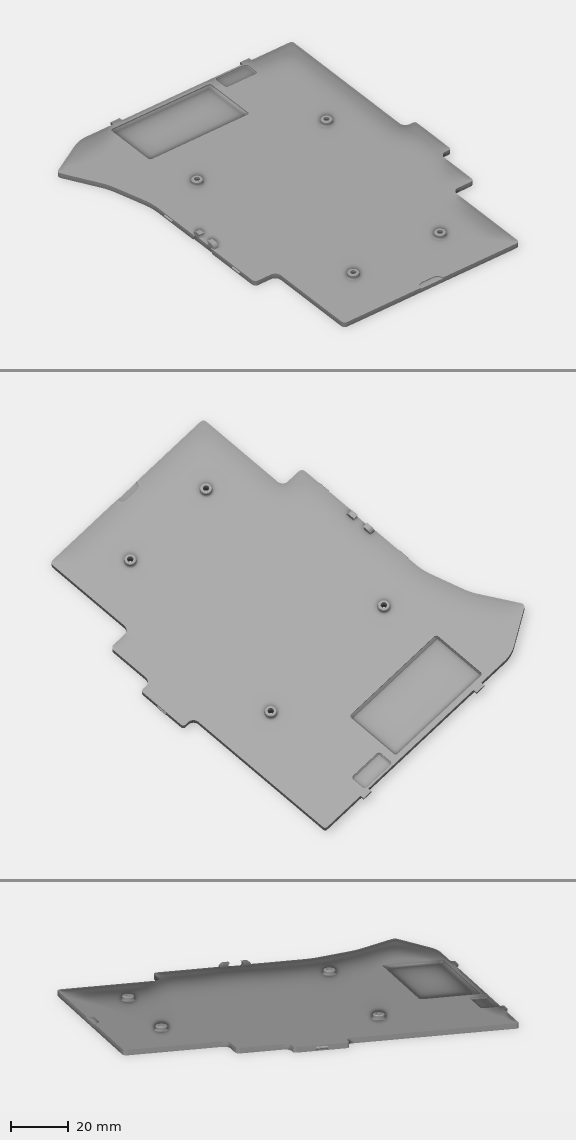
import cadquery as cq
import math

plate_length = 140.2
plate_width = 96.0
plate_thickness = 2.0
overall_height = 3.7
mid_y = plate_width / 2
mid_x = 73.0

shoulder_x = 102.3
narrow_end_width = 77.0
tongue_width = 20.2
tongue_height = 4.95
corner_radius = 1.5
inner_corner_radius = 2.5
small_corner_radius = 1.0

foot_angle = 30.0
foot_start_y = 2.5
foot_tip_x = 10.06
foot_knee_x = 26.9
foot_heel_x = 44.8
foot_tip_radius = 1.5
foot_side_radius = 12.5
foot_knee_radius = 22.0

boss_diameter = 4.2
boss_hole_diameter = 2.2
boss_flare_radius = 0.6
boss_chamfer = 0.25
left_boss_x = 44.6
left_boss_spacing = 56.7
right_boss_x = 120.4
right_boss_spacing = 38.0

small_pocket_left = 0.75
small_pocket_low = 61.5
small_pocket_width = 6.5
small_pocket_height = 13.9
small_pocket_rim = 0.3
small_pocket_slope = 0.5
large_pocket_left = 1.95
large_pocket_low = 14.9
large_pocket_width = 22.2
large_pocket_height = 43.7
large_pocket_rim = 0.5
large_pocket_slope = 0.95
large_pocket_lower_inset = 0.35
pocket_corner_radius = 1.0
pocket_floor_radius = 0.2

recess_width = 9.6
recess_reach = 2.4
recess_corner_radius = 2.35
recess_depth = 0.4

tab_length = 1.45
tab_root = 0.4
tab_width = 3.9
tab_thickness = 1.0

bump_width = 4.2
bump_height = 1.0
bump_tip_height = 0.4
bump_reach = 0.45
lower_bump_spacing = 38.0

hook_gap = 4.4
hook_top_width = 1.8
hook_thickness = 2.0
hook_groove_depth = 0.5
hook_root = 0.4
notch_depth = 0.4
notch_top_width = 9.2
notch_bottom_width = 10.8


def rounded_outline(corners):
    """Closed outline through (x, y, radius) corners, each rounded by a tangent arc."""
    for index, (x, y, radius) in enumerate(corners):
        corner = cq.Vector(x, y)
        before = (cq.Vector(*corners[index - 1][:2]) - corner).normalized()
        after = (cq.Vector(*corners[(index + 1) % len(corners)][:2]) - corner).normalized()
        half_angle = before.getAngle(after) / 2
        tangent_length = radius / math.tan(half_angle)
        arc_start = corner + before * tangent_length
        arc_end = corner + after * tangent_length
        to_arc = radius / math.sin(half_angle) - radius
        arc_middle = corner + (before + after).normalized() * to_arc
        if index == 0:
            path = cq.Workplane("XY").moveTo(arc_start.x, arc_start.y)
        else:
            path = path.lineTo(arc_start.x, arc_start.y)
        path = path.threePointArc((arc_middle.x, arc_middle.y), (arc_end.x, arc_end.y))
    return path.close()


def make_plate():
    """Stepped plate with the pointed foot and the upper tongue."""
    slope = math.tan(math.radians(foot_angle))
    tip_y = foot_start_y - foot_tip_x / slope
    knee_y = tip_y + (foot_knee_x - foot_tip_x) * slope
    end_low = mid_y - narrow_end_width / 2
    end_high = mid_y + narrow_end_width / 2
    tongue_left = mid_x - tongue_width / 2
    tongue_right = mid_x + tongue_width / 2
    tongue_top = plate_width + tongue_height
    corners = [
        (0, plate_width, small_corner_radius),
        (0, foot_start_y, foot_side_radius),
        (foot_tip_x, tip_y, foot_tip_radius),
        (foot_knee_x, knee_y, foot_knee_radius),
        (foot_heel_x, 0, foot_knee_radius),
        (shoulder_x, 0, corner_radius),
        (shoulder_x, end_low, inner_corner_radius),
        (plate_length, end_low, corner_radius),
        (plate_length, end_high, corner_radius),
        (shoulder_x, end_high, inner_corner_radius),
        (shoulder_x, plate_width, corner_radius),
        (tongue_right, plate_width, inner_corner_radius),
        (tongue_right, tongue_top, small_corner_radius),
        (tongue_left, tongue_top, small_corner_radius),
        (tongue_left, plate_width, inner_corner_radius),
    ]
    return rounded_outline(corners).extrude(plate_thickness)


def boss_places():
    places = []
    for x, spacing in ((left_boss_x, left_boss_spacing), (right_boss_x, right_boss_spacing)):
        places += [(x, mid_y - spacing / 2), (x, mid_y + spacing / 2)]
    return places


def make_boss(place):
    """Upright boss with a concave flare where it meets the plate."""
    radius = boss_diameter / 2
    flare = boss_flare_radius
    arc_inset = flare * (1 - math.sqrt(0.5))
    profile = (
        cq.Workplane("XZ")
        .lineTo(radius + flare, 0)
        .lineTo(radius + flare, plate_thickness)
        .threePointArc((radius + arc_inset, plate_thickness + arc_inset),
                       (radius, plate_thickness + flare))
        .lineTo(radius, overall_height - boss_chamfer)
        .lineTo(radius - boss_chamfer, overall_height)
        .lineTo(0, overall_height)
        .close()
    )
    return profile.revolve(360, (0, 0), (0, 1)).translate((*place, 0))


def rounded_rectangle(width, height, radius):
    return cq.Sketch().rect(width, height).vertices().fillet(radius)


def make_pocket(left, low, width, height, rim, slope, lower_inset):
    """Pocket cutter: upright to the rim depth, then 45 degree walls except for the lower one."""
    middle = (left + width / 2, low + height / 2, plate_thickness - rim)
    floor_shift = cq.Vector(0, (lower_inset - slope) / 2, -slope)
    mouth = rounded_rectangle(width, height, pocket_corner_radius)
    floor = rounded_rectangle(width - 2 * slope, height - slope - lower_inset, pocket_floor_radius)
    floor = floor.moved(cq.Location(floor_shift))
    upright = cq.Workplane("XY", origin=middle).placeSketch(mouth).extrude(rim)
    sloped = cq.Workplane("XY", origin=middle).placeSketch(mouth, floor).loft()
    return upright.union(sloped)


def make_edge_recess():
    """Recess cut down from the top face, open at the right edge."""
    return (
        cq.Workplane("XY", origin=(plate_length, mid_y, plate_thickness - recess_depth))
        .rect(2 * recess_reach, recess_width).extrude(recess_depth)
        .edges("|Z and <X").fillet(recess_corner_radius)
    )


def make_tab(y):
    return cq.Workplane("XY").box(
        tab_length + tab_root, tab_width, tab_thickness, centered=(False, True, False)
    ).translate((-tab_length, y, plate_thickness - tab_thickness))


def make_bump(x, edge_y, outward):
    """Ridge of tapered section along X, standing out of a plate edge."""
    middle_z = plate_thickness / 2
    return (
        cq.Workplane("YZ", origin=(x - bump_width / 2, edge_y, middle_z))
        .moveTo(0, -bump_height / 2)
        .lineTo(outward * bump_reach, -bump_tip_height / 2)
        .lineTo(outward * bump_reach, bump_tip_height / 2)
        .lineTo(0, bump_height / 2)
        .close().extrude(bump_width)
    )


def make_hook(side):
    """Hook with a rounded back and a shallow groove facing the other hook."""
    rise = overall_height - plate_thickness
    inner = hook_gap / 2
    shoulder = inner + hook_top_width
    outer = shoulder + rise
    arc_middle = rise * math.sqrt(0.5)
    profile = (
        cq.Workplane("XZ", origin=(mid_x, notch_depth, 0))
        .moveTo(side * inner, plate_thickness - hook_root)
        .lineTo(side * inner, plate_thickness)
        .threePointArc((side * (inner + hook_groove_depth), plate_thickness + rise / 2),
                       (side * inner, overall_height))
        .lineTo(side * shoulder, overall_height)
        .threePointArc((side * (shoulder + arc_middle), plate_thickness + arc_middle),
                       (side * outer, plate_thickness))
        .lineTo(side * outer, plate_thickness - hook_root)
        .close()
    )
    return profile.extrude(-hook_thickness)


def make_notch():
    """Shallow notch in the lower edge, widening towards the underside."""
    return (
        cq.Workplane("XZ", origin=(mid_x, 0, 0))
        .moveTo(-notch_bottom_width / 2, 0)
        .lineTo(notch_bottom_width / 2, 0)
        .lineTo(notch_top_width / 2, plate_thickness)
        .lineTo(-notch_top_width / 2, plate_thickness)
        .close().extrude(-notch_depth)
    )


result = make_plate()
for place in boss_places():
    result = result.union(make_boss(place))
for place in boss_places():
    hole = cq.Workplane("XY").circle(boss_hole_diameter / 2).extrude(overall_height)
    result = result.cut(hole.translate((*place, 0)))
result = result.cut(make_pocket(
    small_pocket_left, small_pocket_low, small_pocket_width, small_pocket_height,
    small_pocket_rim, small_pocket_slope, small_pocket_slope))
result = result.cut(make_pocket(
    large_pocket_left, large_pocket_low, large_pocket_width, large_pocket_height,
    large_pocket_rim, large_pocket_slope, large_pocket_lower_inset))
result = result.cut(make_edge_recess())
result = result.cut(make_notch())
for side in (-1, 1):
    result = result.union(make_tab(mid_y + side * left_boss_spacing / 2))
    result = result.union(make_bump(mid_x + side * lower_bump_spacing / 2, 0, -1))
    result = result.union(make_hook(side))
result = result.union(make_bump(mid_x, plate_width + tongue_height, 1))